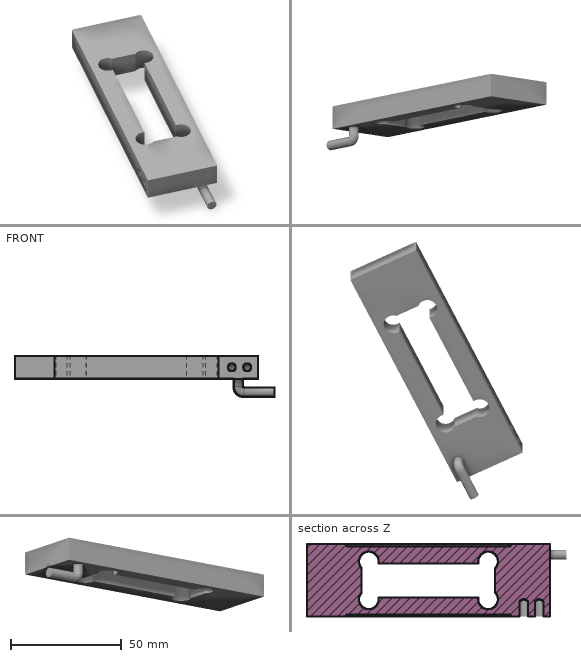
import cadquery as cq
import math

total_length = 117.5
block_length = 110.0
block_width = 33.0
block_height = 10.3
total_height = 18.5
mid_x = block_length / 2

window_length = 60.1
window_width = 15.0
relief_diameter = 8.7
relief_spacing_x = 53.9
relief_spacing_y = 17.1

strip_length = 74.2
strip_depth = 1.0
strip_corner_chamfer = 0.7

drill_diameter = 3.5
drill_depth = 7.0
drill_point_angle = 118.0
drill_end_distance = 4.9
drill_spacing = 6.9

cable_diameter = 4.3
cable_end_distance = 8.9
cable_side_distance = 5.0
cable_bend_radius = 2.5


def make_strip(side):
    """Cover strip on the +Y (side = 1) or -Y (side = -1) face, inner end corners chamfered."""
    strip = (
        cq.Workplane("XY")
        .box(strip_length, strip_depth, block_height, centered=(True, True, False))
        .edges("|Z and <Y")
        .chamfer(strip_corner_chamfer)
    )
    if side < 0:
        strip = strip.mirror("XZ")
    return strip.translate((mid_x, side * (block_width - strip_depth) / 2, 0))


def make_window():
    """Rectangular through window joined with its four corner relief holes."""
    reliefs = (
        cq.Workplane("XY")
        .rect(relief_spacing_x, relief_spacing_y, forConstruction=True)
        .vertices()
        .circle(relief_diameter / 2)
        .extrude(block_height)
    )
    opening = cq.Workplane("XY").rect(window_length, window_width).extrude(block_height)
    return opening.union(reliefs).translate((mid_x, 0, 0))


def make_drilling(x):
    """Blind hole along +Y with a conical drill point."""
    radius = drill_diameter / 2
    point_length = radius / math.tan(math.radians(drill_point_angle / 2))
    profile = [(0, 0), (radius, 0), (radius, drill_depth), (0, drill_depth + point_length)]
    drilling = cq.Workplane("XY").polyline(profile).close().revolve(360, (0, 0), (0, 1))
    return drilling.translate((x, -block_width / 2, block_height / 2))


def make_cable():
    """Round cable that drops from the underside and bends toward +X."""
    x = block_length - cable_end_distance
    y = block_width / 2 - cable_side_distance
    axis_z = block_height - total_height + cable_diameter / 2
    bend_z = axis_z + cable_bend_radius
    bend_end_x = x + cable_bend_radius
    radius = cable_diameter / 2
    drop = cq.Workplane("XY", origin=(x, y, bend_z)).circle(radius).extrude(-bend_z)
    bend = (
        cq.Workplane("XY", origin=(x, y, bend_z))
        .circle(radius)
        .revolve(90, (cable_bend_radius, 0), (cable_bend_radius, -1))
    )
    run = (
        cq.Workplane("YZ", origin=(bend_end_x, y, axis_z))
        .circle(radius)
        .extrude(total_length - bend_end_x)
    )
    return drop.union(bend).union(run)


def make_beam(strips):
    """Beam block with window, strip recesses and drilled holes, in one piece with its cable stub."""
    beam = cq.Workplane("XY").box(block_length, block_width, block_height, centered=(False, True, False))
    beam = beam.cut(make_window())
    for strip in strips:
        beam = beam.cut(strip)
    for index in range(2):
        beam = beam.cut(make_drilling(block_length - drill_end_distance - index * drill_spacing))
    return beam.union(make_cable())


cover_strips = [make_strip(side) for side in (-1, 1)]
beam = make_beam(cover_strips)

result = cq.Compound.makeCompound([beam.val(), *[strip.val() for strip in cover_strips]])